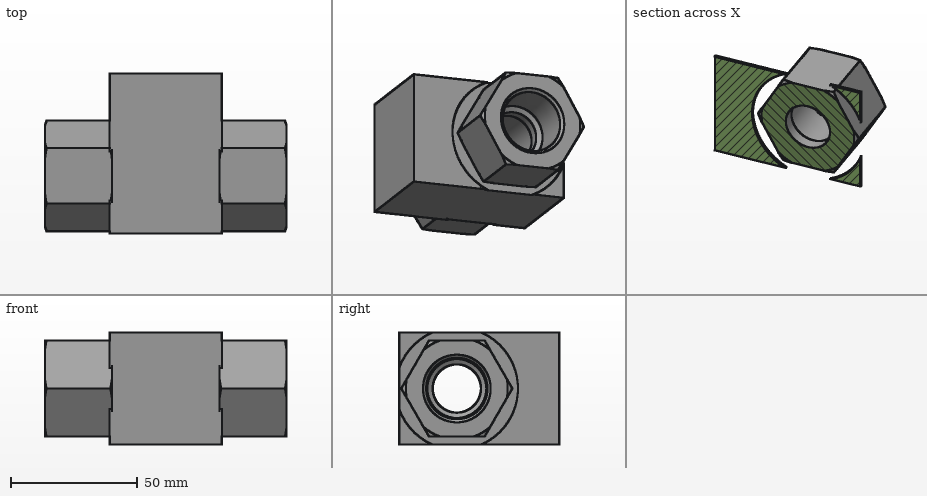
import cadquery as cq
import math

overall_length = 95.76
block_size = 44.45
block_depth = 63.5
axis_to_front = 22.86

recess_diameter = 48.5
recess_depth = 0.9

hex_across_flats = 38.1
hex_across_corners = hex_across_flats / math.cos(math.radians(30))
hex_chamfer_diameter = 40.4
hex_chamfer_angle = 20
hex_chamfer_slope = math.tan(math.radians(hex_chamfer_angle))
hex_chamfer_length = (hex_across_corners - hex_chamfer_diameter) / 2 * hex_chamfer_slope

bore_diameter = 19.05
port_mouth_diameter = 26.85
port_outer_diameter = 24.3
port_inner_diameter = 23.39
taper_depth = 16.7
port_depth = 20.0
mouth_chamfer_length = (port_mouth_diameter - port_outer_diameter) / 2
drill_point_angle = 118
drill_point_slope = math.tan(math.radians(drill_point_angle / 2))
drill_point_length = (port_inner_diameter - bore_diameter) / 2 / drill_point_slope

block_end = block_size / 2
fitting_inner_end = block_end - recess_depth
fitting_outer_end = overall_length / 2
fitting_length = fitting_outer_end - fitting_inner_end


def make_block():
    """Rectangular block with a through bore and a shallow round recess on each X side."""
    block = cq.Workplane("XY").box(block_size, block_depth, block_size)
    block = block.translate((0, block_depth / 2 - axis_to_front, 0))
    bore = cq.Workplane("YZ").circle(bore_diameter / 2).extrude(block_end, both=True)
    block = block.cut(bore)
    recess = (
        cq.Workplane("YZ", origin=(fitting_inner_end, 0, 0))
        .circle(recess_diameter / 2)
        .extrude(recess_depth)
    )
    return block.cut(recess).cut(recess.mirror("YZ"))


def make_chamfered_envelope():
    """Round body, coned at both ends, that trims the hexagon corners."""
    end_radius = hex_chamfer_diameter / 2
    corner_radius = hex_across_corners / 2
    return (
        cq.Workplane("XY")
        .moveTo(fitting_inner_end, 0)
        .lineTo(fitting_inner_end, end_radius)
        .lineTo(fitting_inner_end + hex_chamfer_length, corner_radius)
        .lineTo(fitting_outer_end - hex_chamfer_length, corner_radius)
        .lineTo(fitting_outer_end, end_radius)
        .lineTo(fitting_outer_end, 0)
        .close()
        .revolve(360, (0, 0, 0), (1, 0, 0))
    )


def make_port():
    """Cutter for the stepped bore: mouth chamfer, taper, straight run, drill point and plain bore."""
    port_end = fitting_outer_end - port_depth
    return (
        cq.Workplane("XY")
        .moveTo(fitting_inner_end, 0)
        .lineTo(fitting_inner_end, bore_diameter / 2)
        .lineTo(port_end - drill_point_length, bore_diameter / 2)
        .lineTo(port_end, port_inner_diameter / 2)
        .lineTo(fitting_outer_end - taper_depth, port_inner_diameter / 2)
        .lineTo(fitting_outer_end - mouth_chamfer_length, port_outer_diameter / 2)
        .lineTo(fitting_outer_end, port_mouth_diameter / 2)
        .lineTo(fitting_outer_end, 0)
        .close()
        .revolve(360, (0, 0, 0), (1, 0, 0))
    )


def make_end_fitting():
    """Hexagonal fitting on the +X side, with two corners on the Y axis."""
    hexagon = (
        cq.Workplane("YZ", origin=(fitting_inner_end, 0, 0))
        .polygon(6, hex_across_corners)
        .extrude(fitting_length)
    )
    return hexagon.intersect(make_chamfered_envelope()).cut(make_port())


block = make_block()
right_fitting = make_end_fitting()
end_fittings = [right_fitting.rotate((0, 0, 0), (0, 0, 1), angle) for angle in (0, 180)]

result = cq.Compound.makeCompound([block.val(), *[fitting.val() for fitting in end_fittings]])